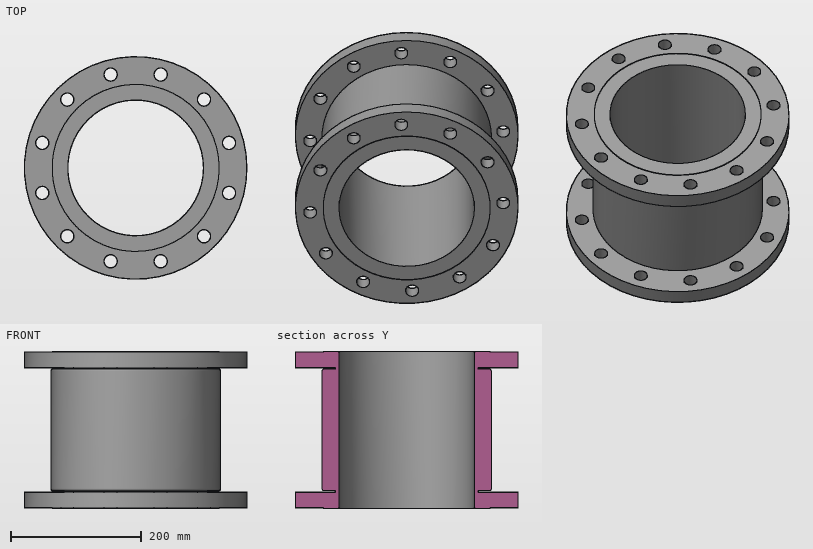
import cadquery as cq

flange_diameter = 340.0
overall_length = 240.0
bore_diameter = 206.7

flange_thickness = 24.0
raised_face_diameter = 255.0
raised_face_height = 1.0

barrel_diameter = 259.0
barrel_fillet = 3.0
neck_diameter = 219.0
neck_length = 1.7

bolt_count = 12
bolt_circle_diameter = 295.0
bolt_hole_diameter = 19.7
bolt_pitch_angle = 360.0 / bolt_count

flange_span = overall_length - 2 * raised_face_height
gap_span = flange_span - 2 * flange_thickness
barrel_length = gap_span - 2 * neck_length


def cylinder(diameter, length):
    """Solid cylinder on the Z axis, centred on the mid-plane of the part."""
    return cq.Workplane("XY", origin=(0, 0, -length / 2)).circle(diameter / 2).extrude(length)


def barrel():
    """Barrel with rounded outer edges at both ends."""
    return cylinder(barrel_diameter, barrel_length).edges("%CIRCLE").fillet(barrel_fillet)


def flanges():
    """Both flange discs, separated by the space for the barrel and necks."""
    return cylinder(flange_diameter, flange_span).cut(cylinder(flange_diameter, gap_span))


def raised_faces():
    """Low sealing faces on the outer sides of both flanges."""
    return cylinder(raised_face_diameter, overall_length).cut(cylinder(raised_face_diameter, flange_span))


def bolt_holes():
    """Ring of bolt holes passing through both flanges, clear of the barrel."""
    return (
        cq.Workplane("XY", origin=(0, 0, -overall_length / 2))
        .polarArray(bolt_circle_diameter / 2, bolt_pitch_angle / 2, 360, bolt_count)
        .circle(bolt_hole_diameter / 2)
        .extrude(overall_length)
    )


neck_pipe = cylinder(neck_diameter, gap_span)
bore = cylinder(bore_diameter, overall_length)

body = neck_pipe.union(barrel()).union(flanges()).union(raised_faces())
result = body.cut(bolt_holes()).cut(bore)